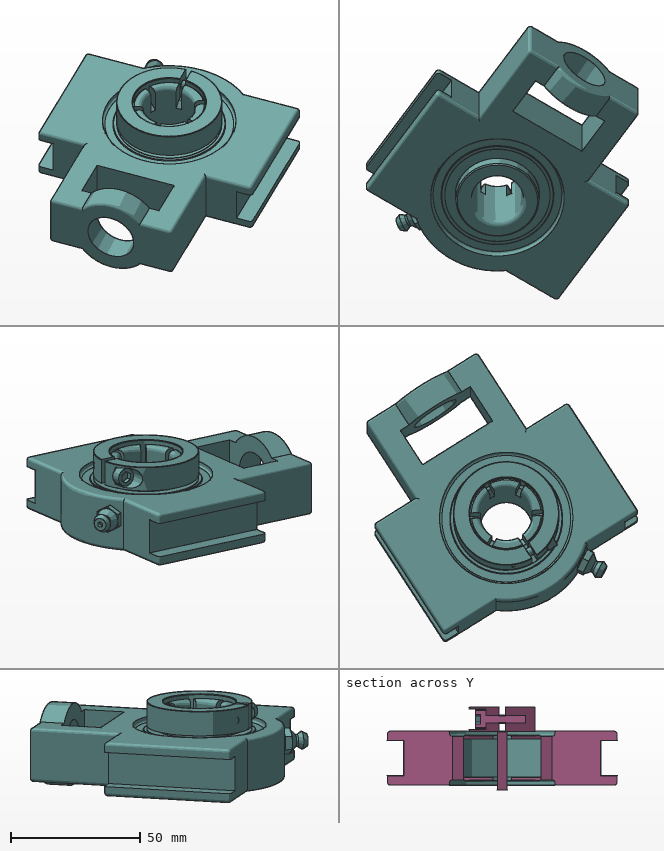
import cadquery as cq
import math

LENGTH_X = 89.0
WING_WIDTH = 51.0
THICKNESS = 21.0
HALF_THICKNESS = THICKNESS / 2
EDGE_ROUND = 1.3
CROWN_RADIUS = 32.9

STEM_WIDTH = 51.0
STEM_END_Y = -61.0
WINDOW_WIDTH = 32.0
WINDOW_TOP_Y = -35.0
WINDOW_BOTTOM_Y = -51.0
BOSS_DIAMETER = 32.0
BOSS_HOLE_DIAMETER = 19.0
BOSS_LENGTH = WINDOW_BOTTOM_Y - STEM_END_Y

GUIDE_DEPTH = 6.3
GUIDE_WIDTH = 13.5

RECESS_DIAMETER = 51.6
RECESS_ROUND = 0.9
OUTER_RING_RADIUS = RECESS_DIAMETER / 2 - RECESS_ROUND
OUTER_RING_WIDTH = 17.1
OUTER_RING_TOP = OUTER_RING_WIDTH / 2
SEAL_SEAT_RADIUS = 21.8

SEAL_THICKNESS = 1.5
SEAL_BORE_RADIUS = 32.5 / 2
SEAL_LIP = 0.3
SEAL_STEP_RADIUS = 20.3
SEAL_STEP_DROP = 0.2

BORE_RADIUS = 20.0 / 2
INNER_RING_RADIUS = 32.0 / 2
INNER_RING_BOTTOM = -12.8
INNER_RING_TOP = 18.2
INNER_RING_CHAMFER = 0.5
NECK_RADIUS = 14.1
NECK_CHAMFER = 0.6
BORE_ROUND = 2

FINGER_COUNT = 6
SLIT_WIDTH = 2.2
SLIT_RAMP_RADIUS = 12.8
SLIT_CONE_TIP_Z = 1.2

COLLAR_RADIUS = 40.8 / 2
COLLAR_TOP = 19.8
COLLAR_HEIGHT = 9.6
COLLAR_BOTTOM = COLLAR_TOP - COLLAR_HEIGHT
COLLAR_GAP = 2.4
COLLAR_CHAMFER = 0.2
COLLAR_BORE_CHAMFER = 0.3

HEAD_DIAMETER = 7.0
HEAD_LENGTH = 4
HEAD_INNER_X = -6.4
HEAD_POCKET_DIAMETER = 8.0
SHANK_DIAMETER = 3.3
SHANK_END_X = 8.9
SOCKET_SIZE = 4
SOCKET_DEPTH = 2
SCREW_Y = COLLAR_RADIUS - HEAD_DIAMETER / 2
SCREW_Z = (COLLAR_TOP + COLLAR_BOTTOM) / 2

NIPPLE_ANGLE = 120
NIPPLE_Z = 2.5
NIPPLE_CLEARANCE = 0.2
NIPPLE_SEAT = CROWN_RADIUS + NIPPLE_CLEARANCE
NIPPLE_STEM_DIAMETER = 6
NIPPLE_STEM_DEPTH = 5
NIPPLE_HEX_SIZE = 8.9
NIPPLE_HEX_HEIGHT = 2.8
NIPPLE_SHOULDER_RADIUS = 3.2
NIPPLE_SHOULDER_HEIGHT = 4.2
NIPPLE_NECK_RADIUS = 2.4
NIPPLE_NECK_START = 5
NIPPLE_NECK_END = 5.8
NIPPLE_HEAD_RADIUS = 7.0 / 2
NIPPLE_HEAD_HEIGHT = 7.5
NIPPLE_TIP_RADIUS = 2.5
NIPPLE_HEIGHT = 9.5
NIPPLE_HOLE_DIAMETER = 2
NIPPLE_HOLE_DEPTH = 2

HEX_SIDES = 6


def disc(radius, bottom, top):
    return cq.Workplane("XY").workplane(offset=bottom).circle(radius).extrude(top - bottom)


def hex_corner_diameter(size_across_flats):
    return size_across_flats / math.cos(math.pi / HEX_SIDES)


def cylinder_along_x(diameter, start_x, end_x):
    """Cylinder on the axis of the clamping screw."""
    plane = cq.Workplane("YZ", origin=(start_x, SCREW_Y, SCREW_Z))
    return plane.circle(diameter / 2).extrude(end_x - start_x)


def nipple_workplane(distance):
    """Plane square to the nipple axis, whose local X direction is +Z."""
    angle = math.radians(NIPPLE_ANGLE)
    outward = cq.Vector(math.cos(angle), math.sin(angle), 0)
    origin = outward * distance + cq.Vector(0, 0, NIPPLE_Z)
    return cq.Workplane(cq.Plane(origin=origin, xDir=(0, 0, 1), normal=outward))


def make_nipple_stem():
    """Stem of the nipple, which is also the shape of its hole in the housing."""
    plane = nipple_workplane(NIPPLE_SEAT - NIPPLE_STEM_DEPTH)
    return plane.circle(NIPPLE_STEM_DIAMETER / 2).extrude(NIPPLE_STEM_DEPTH)


def make_housing():
    wings = cq.Workplane("XY").box(LENGTH_X, WING_WIDTH, THICKNESS).edges().fillet(EDGE_ROUND)
    stem = (
        cq.Workplane("XY")
        .box(STEM_WIDTH, -STEM_END_Y, THICKNESS)
        .translate((0, STEM_END_Y / 2, 0))
        .edges("|X or |Y or (|Z and <Y)")
        .fillet(EDGE_ROUND)
    )
    crown = disc(CROWN_RADIUS, -HALF_THICKNESS, HALF_THICKNESS).edges().fillet(EDGE_ROUND)
    boss = (
        cq.Workplane("XZ", origin=(0, WINDOW_BOTTOM_Y, 0))
        .circle(BOSS_DIAMETER / 2)
        .extrude(BOSS_LENGTH)
        .faces("<Y")
        .edges()
        .fillet(EDGE_ROUND)
    )
    body = wings.union(stem).union(crown).union(boss)

    window_length = WINDOW_TOP_Y - WINDOW_BOTTOM_Y
    window = (
        cq.Workplane("XY")
        .box(WINDOW_WIDTH, window_length, THICKNESS)
        .translate((0, (WINDOW_TOP_Y + WINDOW_BOTTOM_Y) / 2, 0))
    )
    boss_hole = (
        cq.Workplane("XZ", origin=(0, WINDOW_BOTTOM_Y, 0))
        .circle(BOSS_HOLE_DIAMETER / 2)
        .extrude(BOSS_LENGTH)
    )
    body = body.cut(window).cut(boss_hole)

    for side in (-1, 1):
        groove = cq.Workplane("XY").box(GUIDE_DEPTH, WING_WIDTH, GUIDE_WIDTH)
        body = body.cut(groove.translate((side * (LENGTH_X - GUIDE_DEPTH) / 2, 0, 0)))

    body = body.cut(disc(OUTER_RING_RADIUS, -HALF_THICKNESS, HALF_THICKNESS))
    recess = disc(RECESS_DIAMETER / 2, OUTER_RING_TOP, HALF_THICKNESS)
    recess = recess.faces("<Z").edges().fillet(RECESS_ROUND)
    body = body.cut(recess).cut(recess.mirror("XY"))

    return body.cut(make_nipple_stem())


def make_outer_ring():
    ring = disc(OUTER_RING_RADIUS, -OUTER_RING_TOP, OUTER_RING_TOP)
    return ring.cut(disc(SEAL_SEAT_RADIUS, -OUTER_RING_TOP, OUTER_RING_TOP))


def make_seal(side):
    """Seal at the top (side = 1) or bottom (side = -1), standing proud of the outer ring."""
    top = OUTER_RING_TOP + SEAL_LIP
    base = top - SEAL_THICKNESS
    step = top - SEAL_STEP_DROP
    seal = (
        cq.Workplane("XZ")
        .moveTo(SEAL_BORE_RADIUS, base)
        .lineTo(SEAL_SEAT_RADIUS, base)
        .lineTo(SEAL_SEAT_RADIUS, OUTER_RING_TOP)
        .lineTo(SEAL_SEAT_RADIUS - SEAL_LIP, top)
        .lineTo(SEAL_STEP_RADIUS, top)
        .lineTo(SEAL_STEP_RADIUS, step)
        .lineTo(SEAL_BORE_RADIUS, step)
        .close()
        .revolve(360, (0, 0, 0), (0, 1, 0))
    )
    return seal if side > 0 else seal.mirror("XY")


def make_slit_cutters():
    """Slits through the neck; their floor is a cone inside and flat outside."""
    swept = (
        cq.Workplane("XZ")
        .moveTo(0, SLIT_CONE_TIP_Z)
        .lineTo(SLIT_RAMP_RADIUS, COLLAR_BOTTOM)
        .lineTo(NECK_RADIUS, COLLAR_BOTTOM)
        .lineTo(NECK_RADIUS, INNER_RING_TOP)
        .lineTo(0, INNER_RING_TOP)
        .close()
        .revolve(360, (0, 0, 0), (0, 1, 0))
    )
    slab_height = INNER_RING_TOP - SLIT_CONE_TIP_Z
    slab = cq.Workplane("XY").box(2 * NECK_RADIUS, SLIT_WIDTH, slab_height)
    slab = slab.translate((0, 0, SLIT_CONE_TIP_Z + slab_height / 2))
    slab_count = FINGER_COUNT // 2
    return [
        slab.rotate((0, 0, 0), (0, 0, 1), 90 + index * 180 / slab_count).intersect(swept)
        for index in range(slab_count)
    ]


def make_inner_ring():
    body = disc(INNER_RING_RADIUS, INNER_RING_BOTTOM, COLLAR_BOTTOM)
    body = body.faces("<Z").edges().chamfer(INNER_RING_CHAMFER)
    neck = disc(NECK_RADIUS, COLLAR_BOTTOM, INNER_RING_TOP)
    neck = neck.faces(">Z").edges().chamfer(NECK_CHAMFER)
    ring = body.union(neck).cut(disc(BORE_RADIUS, INNER_RING_BOTTOM, INNER_RING_TOP))
    bore_edges = cq.selectors.RadiusNthSelector(0)
    ring = ring.faces(">Z").edges(bore_edges).fillet(BORE_ROUND)
    ring = ring.faces("<Z").edges(bore_edges).fillet(BORE_ROUND)
    for cutter in make_slit_cutters():
        ring = ring.cut(cutter)
    return ring


def make_collar():
    collar = disc(COLLAR_RADIUS, COLLAR_BOTTOM, COLLAR_TOP)
    collar = collar.faces(">Z").edges().chamfer(COLLAR_CHAMFER)
    collar = collar.cut(disc(NECK_RADIUS, COLLAR_BOTTOM, COLLAR_TOP))
    bore_edge = collar.faces(">Z").edges(cq.selectors.RadiusNthSelector(0))
    collar = bore_edge.chamfer(COLLAR_BORE_CHAMFER)
    gap = cq.Workplane("XY").box(COLLAR_GAP, COLLAR_RADIUS, COLLAR_HEIGHT)
    collar = collar.cut(gap.translate((0, COLLAR_RADIUS / 2, SCREW_Z)))
    collar = collar.cut(cylinder_along_x(HEAD_POCKET_DIAMETER, -COLLAR_RADIUS, HEAD_INNER_X))
    return collar.cut(cylinder_along_x(SHANK_DIAMETER, HEAD_INNER_X, SHANK_END_X))


def make_screw():
    head_end_x = HEAD_INNER_X - HEAD_LENGTH
    head = cylinder_along_x(HEAD_DIAMETER, head_end_x, HEAD_INNER_X)
    shank = cylinder_along_x(SHANK_DIAMETER, HEAD_INNER_X, SHANK_END_X)
    corner_diameter = hex_corner_diameter(SOCKET_SIZE)
    socket = (
        cq.Workplane("YZ", origin=(head_end_x, SCREW_Y, SCREW_Z))
        .transformed(rotate=(0, 0, 90))
        .polygon(HEX_SIDES, corner_diameter)
        .extrude(SOCKET_DEPTH)
    )
    return head.union(shank).cut(socket)


def make_nipple():
    seat = nipple_workplane(NIPPLE_SEAT)
    corner_diameter = hex_corner_diameter(NIPPLE_HEX_SIZE)
    hexagon = seat.polygon(HEX_SIDES, corner_diameter).extrude(NIPPLE_HEX_HEIGHT)
    spout = (
        seat.transformed(rotate=(90, 0, 0))
        .moveTo(0, NIPPLE_HEX_HEIGHT)
        .lineTo(NIPPLE_HEX_SIZE / 2, NIPPLE_HEX_HEIGHT)
        .lineTo(NIPPLE_SHOULDER_RADIUS, NIPPLE_SHOULDER_HEIGHT)
        .lineTo(NIPPLE_NECK_RADIUS, NIPPLE_NECK_START)
        .lineTo(NIPPLE_NECK_RADIUS, NIPPLE_NECK_END)
        .lineTo(NIPPLE_HEAD_RADIUS, NIPPLE_HEAD_HEIGHT)
        .lineTo(NIPPLE_TIP_RADIUS, NIPPLE_HEIGHT)
        .lineTo(0, NIPPLE_HEIGHT)
        .close()
        .revolve(360, (0, 0, 0), (0, 1, 0))
    )
    hole = (
        nipple_workplane(NIPPLE_SEAT + NIPPLE_HEIGHT - NIPPLE_HOLE_DEPTH)
        .circle(NIPPLE_HOLE_DIAMETER / 2)
        .extrude(NIPPLE_HOLE_DEPTH)
    )
    return hexagon.union(spout).union(make_nipple_stem()).cut(hole)


housing = make_housing()
outer_ring = make_outer_ring()
seals = [make_seal(side) for side in (1, -1)]
inner_ring = make_inner_ring()
collar = make_collar()
screw = make_screw()
nipple = make_nipple()

result = cq.Compound.makeCompound(
    [
        housing.val(),
        outer_ring.val(),
        *[seal.val() for seal in seals],
        inner_ring.val(),
        collar.val(),
        screw.val(),
        nipple.val(),
    ]
)